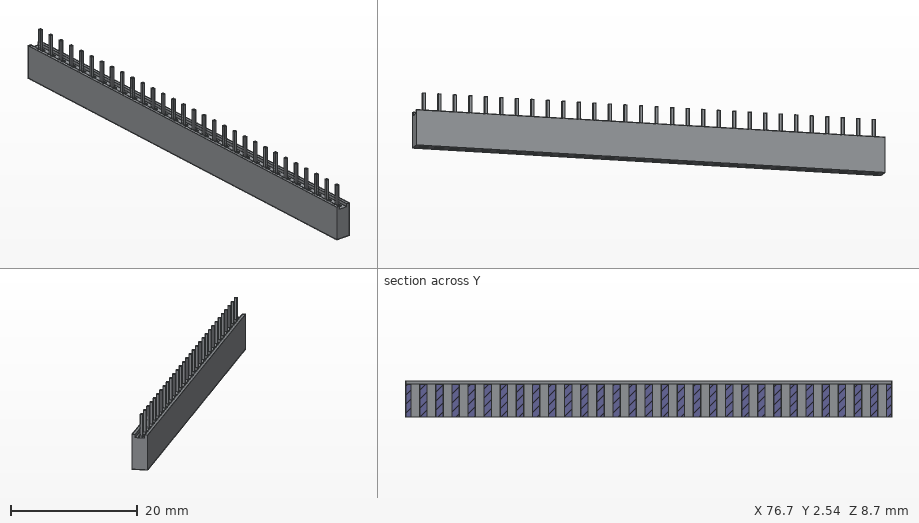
import cadquery as cq

contact_count = 30
pitch = 2.54
end_margin = 0.25

body_length = contact_count * pitch + 2 * end_margin
body_width = 2.54
body_height = 5.7

channel_width = 1.5
channel_depth = 0.5
floor_z = body_height - channel_depth

opening_length = 1.34
opening_width = 0.76

pin_width = 0.46
contact_thickness = 0.4
pin_projection = 3.0
pin_top_z = body_height + pin_projection


def block(size_x, size_y, bottom_z, top_z, center_x=0):
    """Upright block centred on the X axis, between two heights."""
    return (
        cq.Workplane("XY", origin=(center_x, 0, bottom_z))
        .box(size_x, size_y, top_z - bottom_z, centered=(True, True, False))
    )


def housing(contact_positions):
    """Body with the top channel and one through opening per contact."""
    body = block(body_length, body_width, 0, body_height)
    body = body.cut(block(body_length, channel_width, floor_z, body_height))
    for center_x in contact_positions:
        body = body.cut(block(opening_length, opening_width, 0, floor_z, center_x))
    return body


def contact(center_x):
    """Plate flush with the channel floor, held by both ends of its opening, with the pin on it."""
    plate = block(opening_length, contact_thickness, 0, floor_z, center_x)
    pin = block(pin_width, contact_thickness, floor_z, pin_top_z, center_x)
    return plate.union(pin)


first_x = -(contact_count - 1) * pitch / 2
contact_positions = [first_x + index * pitch for index in range(contact_count)]

result = housing(contact_positions)
for center_x in contact_positions:
    result = result.union(contact(center_x))